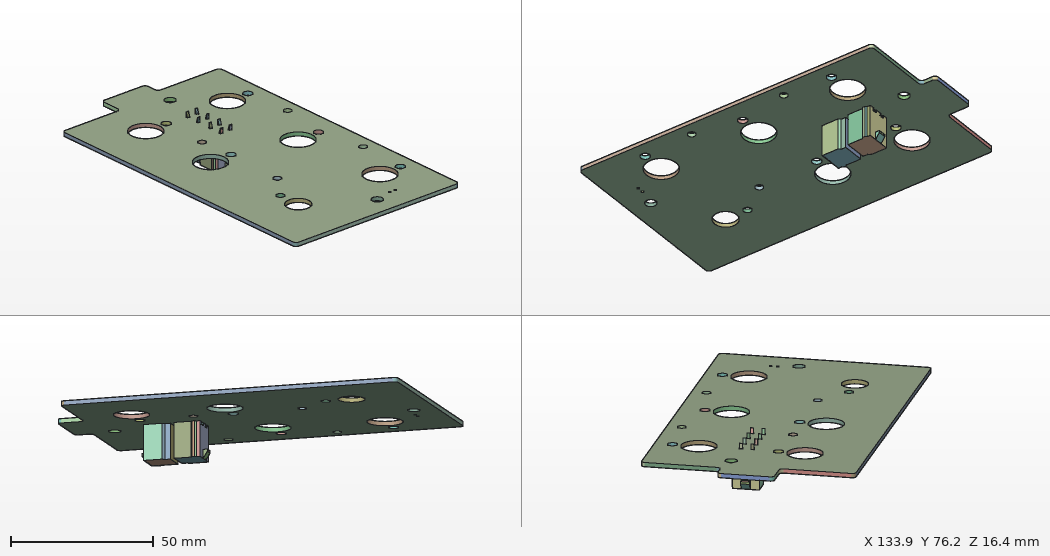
import cadquery as cq

BOARD_LENGTH = 133.9
BOARD_WIDTH = 76.2
BOARD_THICKNESS = 1.6
UPPER_EDGE_X = 6.5
LOWER_EDGE_X = 9.9
TAB_BOTTOM_Y = 27.0
TAB_TOP_Y = 47.4
CORNER_RADIUS = 1.5

OPENING_DIAMETER = 12.7
LOCATING_DIAMETER = 3.6
LOCATING_OFFSET = 9.5
LEFT_COLUMN_X = 28.9
RIGHT_COLUMN_X = 110.0
UPPER_ROW_Y = 60.3
LOWER_ROW_Y = 22.2
OPENING_CENTERS = [
    (LEFT_COLUMN_X, UPPER_ROW_Y),
    (RIGHT_COLUMN_X, UPPER_ROW_Y),
    (69.5, 57.6),
    (LEFT_COLUMN_X, LOWER_ROW_Y),
    (63.3, LOWER_ROW_Y),
]

SMALL_OPENING_DIAMETER = 9.5
SMALL_LOCATING_DIAMETER = 3.2
SMALL_LOCATING_OFFSET = 9.5

MOUNTING_DIAMETER = 4.3
MOUNTING_XS = (15.1, 125.2)
MOUNTING_Y = 45.7
FIXING_DIAMETER = 3.1
FIXING_XS = (48.9, 88.9)
FIXING_YS = (31.0, 70.8)

LEAD_DIAMETER = 0.9
LEAD_X = 123.5
LEAD_Y = 54.2
LEAD_PITCH = 2.5

PAIR_X = 38.5
PAIR_Y = 43.3
CONNECTOR_ANGLES = (0, 180)

HOUSING_SIZE = 9.6
HOUSING_HEIGHT = 12.9
HOUSING_OFFSET = 5.6
RIB_OFFSET = 2.4
RIB_BASE_WIDTH = 2.0
RIB_HEIGHT = 0.5
STEP_DISTANCE = 2.0
STEP_DEPTH = 0.8
LATCH_WIDTH = 3.2
LATCH_REACH = 1.6
LATCH_HEIGHT = 3.2
LATCH_TIP_HEIGHT = 0.8

RELIEF_DEPTH = 0.4
RELIEF_HEIGHT = 1.0
RELIEF_TOP_WIDTH = 1.3
RELIEF_BOTTOM_WIDTH = 2.0

PIN_HOLE_DIAMETER = 1.3
PIN_COLUMN_PITCH = 5.5
PIN_COLUMN_OFFSET = 6.0
PIN_ROW_PITCH = 4.2
PIN_WIDTH = 1.1
PIN_OUTER_OFFSET = 0.37
PIN_THICKNESS = 0.7
PIN_TIP_THICKNESS = 0.1
PIN_PROJECTION = 1.9

PIN_COLUMNS = [
    (PIN_COLUMN_OFFSET + side * PIN_COLUMN_PITCH / 2, side) for side in (-1, 1)
]
PIN_ROWS = [-PIN_ROW_PITCH / 2, PIN_ROW_PITCH / 2]


def drill(board, diameter, centers):
    """Cut through holes of one diameter into the board."""
    cutters = (
        cq.Workplane("XY").pushPoints(centers).circle(diameter / 2).extrude(BOARD_THICKNESS)
    )
    return board.cut(cutters)


def make_board():
    outline = [
        (LOWER_EDGE_X, 0),
        (BOARD_LENGTH, 0),
        (BOARD_LENGTH, BOARD_WIDTH),
        (UPPER_EDGE_X, BOARD_WIDTH),
        (UPPER_EDGE_X, TAB_TOP_Y),
        (0, TAB_TOP_Y),
        (0, TAB_BOTTOM_Y),
        (LOWER_EDGE_X, TAB_BOTTOM_Y),
    ]
    board = cq.Workplane("XY").polyline(outline).close().extrude(BOARD_THICKNESS)
    board = board.edges("|Z").fillet(CORNER_RADIUS)

    locating_centers = [(x, y + LOCATING_OFFSET) for x, y in OPENING_CENTERS]
    board = drill(board, OPENING_DIAMETER, OPENING_CENTERS)
    board = drill(board, LOCATING_DIAMETER, locating_centers)

    small_locating_x = RIGHT_COLUMN_X - SMALL_LOCATING_OFFSET
    board = drill(board, SMALL_OPENING_DIAMETER, [(RIGHT_COLUMN_X, LOWER_ROW_Y)])
    board = drill(board, SMALL_LOCATING_DIAMETER, [(small_locating_x, LOWER_ROW_Y)])

    board = drill(board, MOUNTING_DIAMETER, [(x, MOUNTING_Y) for x in MOUNTING_XS])
    board = drill(board, FIXING_DIAMETER, [(x, y) for x in FIXING_XS for y in FIXING_YS])
    board = drill(board, LEAD_DIAMETER, [(LEAD_X, LEAD_Y + side * LEAD_PITCH / 2) for side in (-1, 1)])

    pin_hole_centers = [
        (PAIR_X + direction * distance, PAIR_Y + row)
        for direction in (-1, 1)
        for distance, _ in PIN_COLUMNS
        for row in PIN_ROWS
    ]
    return drill(board, PIN_HOLE_DIAMETER, pin_hole_centers)


def make_housing_block():
    """Square block with a sloped step on +Y and a trapezoidal rib on -Y."""
    half = HOUSING_SIZE / 2
    rib_half_base = RIB_BASE_WIDTH / 2
    rib_half_top = rib_half_base - RIB_HEIGHT
    profile = [
        (half, half),
        (-STEP_DISTANCE, half),
        (-STEP_DISTANCE - STEP_DEPTH, half - STEP_DEPTH),
        (-half, half - STEP_DEPTH),
        (-half, -half),
        (RIB_OFFSET - rib_half_base, -half),
        (RIB_OFFSET - rib_half_top, -half - RIB_HEIGHT),
        (RIB_OFFSET + rib_half_top, -half - RIB_HEIGHT),
        (RIB_OFFSET + rib_half_base, -half),
        (half, -half),
    ]
    block = cq.Workplane("XY").polyline(profile).close().extrude(-HOUSING_HEIGHT)
    return block.translate((HOUSING_OFFSET, 0, 0))


def make_latch():
    """Wedge at the foot of the housing, growing upwards to a short vertical tip."""
    face_x = HOUSING_OFFSET + HOUSING_SIZE / 2
    top_z = LATCH_HEIGHT - HOUSING_HEIGHT
    profile = [
        (face_x, -HOUSING_HEIGHT),
        (face_x + LATCH_REACH, top_z - LATCH_TIP_HEIGHT),
        (face_x + LATCH_REACH, top_z),
        (face_x, top_z),
    ]
    return cq.Workplane("XZ").polyline(profile).close().extrude(LATCH_WIDTH / 2, both=True)


def make_relief(row):
    """Cutter for the flared relief in the latch face at one pin row."""
    face_x = HOUSING_OFFSET + HOUSING_SIZE / 2
    profile = [
        (row - RELIEF_TOP_WIDTH / 2, 0),
        (row + RELIEF_TOP_WIDTH / 2, 0),
        (row + RELIEF_BOTTOM_WIDTH / 2, -RELIEF_HEIGHT),
        (row - RELIEF_BOTTOM_WIDTH / 2, -RELIEF_HEIGHT),
    ]
    cutter = cq.Workplane("YZ").polyline(profile).close().extrude(-RELIEF_DEPTH)
    return cutter.translate((face_x, 0, 0))


def make_pin(distance, side, row):
    """Pin standing on the housing, straight on the given side and tapered on the other."""
    outer_x = distance + side * PIN_OUTER_OFFSET
    inner_x = outer_x - side * PIN_THICKNESS
    tip_x = outer_x - side * PIN_TIP_THICKNESS
    tip_z = BOARD_THICKNESS + PIN_PROJECTION
    profile = [
        (outer_x, 0),
        (outer_x, tip_z),
        (tip_x, tip_z),
        (inner_x, BOARD_THICKNESS),
        (inner_x, 0),
    ]
    pin = cq.Workplane("XZ").polyline(profile).close().extrude(PIN_WIDTH / 2, both=True)
    return pin.translate((0, row, 0))


def make_connector(angle):
    """Housing with latch and four pins, turned about the pair centre."""
    connector = make_housing_block().union(make_latch())
    for row in PIN_ROWS:
        connector = connector.cut(make_relief(row))
        for distance, side in PIN_COLUMNS:
            connector = connector.union(make_pin(distance, side, row))
    return connector.rotate((0, 0, 0), (0, 0, 1), angle).translate((PAIR_X, PAIR_Y, 0))


board = make_board()
connectors = [make_connector(angle) for angle in CONNECTOR_ANGLES]

result = cq.Compound.makeCompound([board.val(), *[connector.val() for connector in connectors]])